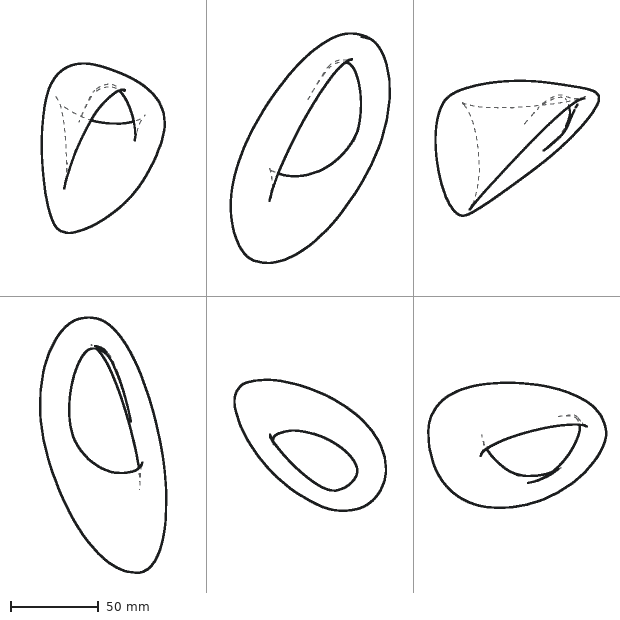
import cadquery as cq
import math

UPPER_RIM = ((5.4, 0, 66.4), (58.6, 33.5, 78.8), (102.5, 5.5, 120.2), (48.8, -16.2, 106.5))
UPPER_SIDE = ((0, 0, 42.7), (58.6, 39.8, 65.9), (106.5, 6.1, 119.3), (48.8, -19.5, 84.2))
LOWER_SIDE = ((4.9, 1.8, 13.4), (57.3, 36.6, 50), (107.1, 5.5, 115.9), (48.8, -19.0, 54.3))
LOWER_RIM = ((19.5, 1.8, 2.7), (59.2, 29.3, 50), (103.7, 6.1, 111.6), (53.7, -14.9, 43.3))
HOLE_WALL = ((32.8, 0, 36.6), (67.1, 22.8, 61.7), (90.9, 2.5, 111), (61, -11.2, 69.5))
HOLE_TOP = ((21.6, 0, 73.8), (64.7, 24.4, 73.5), (94.3, 3.0, 114.7), (51.5, -12.0, 97.1))
RAILS = (HOLE_WALL, HOLE_TOP, UPPER_RIM, UPPER_SIDE, LOWER_SIDE, LOWER_RIM)

POINTS_PER_RAIL = 16
END_SKEW = 0.03


def rail_point(corners, angle):
    """Point on the smooth oval through the four corners; angle 0 is the left end."""
    point = []
    for left, back, right, front in zip(*corners):
        middle = (left + back + right + front) / 4
        uneven = (left + right - back - front) / 4
        along = (left - right) / 2 * math.cos(angle)
        across = (back - front) / 2 * (math.sin(angle) - END_SKEW * math.sin(2 * angle))
        point.append(middle + along + across + uneven * math.cos(2 * angle))
    return cq.Vector(*point)


def rail_wire(corners):
    step = 2 * math.pi / POINTS_PER_RAIL
    points = [rail_point(corners, i * step) for i in range(POINTS_PER_RAIL)]
    return cq.Wire.assembleEdges([cq.Edge.makeSpline(points, periodic=True)])


wires = [rail_wire(rail) for rail in RAILS]
skin = cq.occ_impl.shapes.loft(*wires, wires[0])
result = cq.Workplane(cq.Solid.makeSolid(skin))